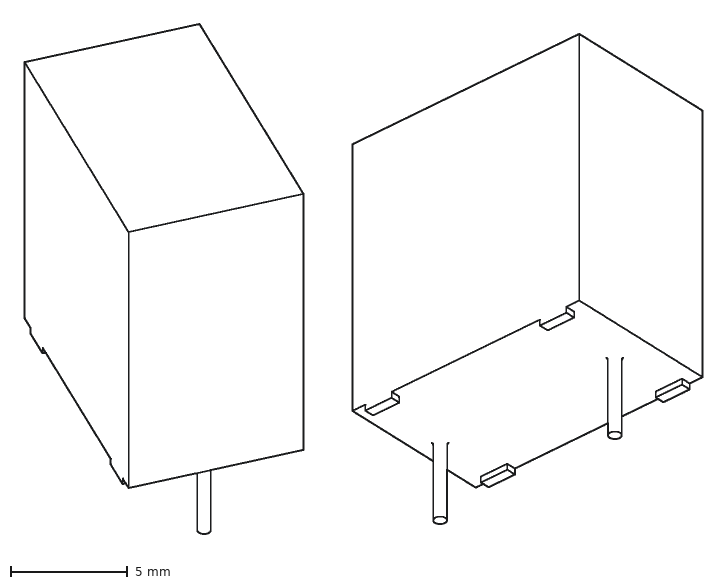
import cadquery as cq
import math


body_length = 13.0
body_width = 8.0
total_height = 18.0
lead_length = 4.3
body_height = total_height - lead_length

lead_pitch = 10.0
lead_diameter = 0.6
lead_radius = lead_diameter / 2
flare_radius = 0.5

foot_length = 1.51
foot_width = 0.5
foot_height = 0.3

lead_positions = [-lead_pitch / 2, lead_pitch / 2]


def make_body():
    return cq.Workplane("XY").box(body_length, body_width, body_height, centered=(True, True, False))


def make_foot(x, side):
    """Foot flush with the long body face on the given side (-1 or 1), in line with a lead."""
    y = side * (body_width - foot_width) / 2
    return (
        cq.Workplane("XY")
        .center(x, y)
        .rect(foot_length, foot_width)
        .extrude(-foot_height)
    )


def make_lead(x):
    """Round lead that widens into the underside of the body with a concave flare."""
    flare_center = (lead_radius + flare_radius, -flare_radius)
    arc_offset = flare_radius * math.sin(math.radians(45))
    flare_middle = (flare_center[0] - arc_offset, flare_center[1] + arc_offset)
    return (
        cq.Workplane("XZ")
        .moveTo(0, 0)
        .lineTo(lead_radius + flare_radius, 0)
        .threePointArc(flare_middle, (lead_radius, -flare_radius))
        .lineTo(lead_radius, -lead_length)
        .lineTo(0, -lead_length)
        .close()
        .revolve(360, (0, 0), (0, 1))
        .translate((x, 0, 0))
    )


result = make_body()
for lead_x in lead_positions:
    result = result.union(make_lead(lead_x))
    for foot_side in (-1, 1):
        result = result.union(make_foot(lead_x, foot_side))